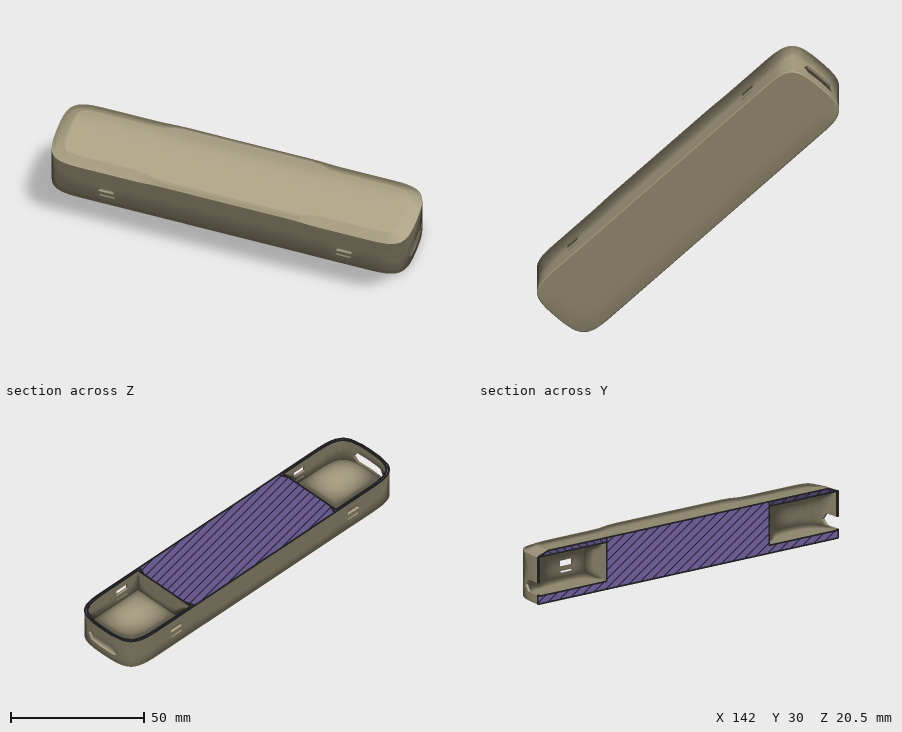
import cadquery as cq
length = 142.0
width = 30.0
height = 20.5
half_length = length / 2
half_width = width / 2

corner_length = 13.3
tip_half_flat = 1.1
corner_pull = 0.82

rim_z = 18.6
rim_end_inset = 5.1
rim_side_inset = 4.0
top_corner_length = 10.1
top_tip_half_flat = 0.5
top_corner_pull = 0.96

cap_floor_z = 5.8
seam_x = 38.5
seam_side_x = 37.0

base_chamfer = 0.4

crest_inset = 3.4
crest_z = height - (height - rim_z) * (1 - crest_inset / rim_side_inset)
rim_edge = [(0.0, rim_z), (crest_inset, crest_z), (rim_side_inset, height)]
outer_blend_edge = [(0.0, 18.7), (3.0, 20.2), (3.7, height)]
inner_blend_edge = [(0.0, 19.0), (1.7, 20.0), (2.5, height)]
middle_edge = [(0.0, 19.2), (1.3, 20.0), (2.1, height)]

edge_stations = [
    (seam_x, rim_edge),
    (seam_side_x, rim_edge),
    (32.8, outer_blend_edge),
    (29.0, inner_blend_edge),
    (24.8, middle_edge),
]

wall = 1.0
chamber_floor_z = 3.3
chamber_ceiling_z = height - 2 * wall

port_width = 16.2
port_flat_width = 12.2
port_bottom_z = 3.7
port_top_z = 8.5
port_depth = 2 * wall

latch_width = 6.0
window_x = 46.9
window_bottom_z = 7.4
window_top_z = 10.0
notch_x = 46.6
notch_bottom_z = 4.8


def rounded_outline(z, half_x, half_y, corner_x, half_flat, pull):
    """Closed case outline at height z, with one curve per corner."""
    corner_y = half_y - half_flat
    straight_x = half_x - corner_x
    handle_x = straight_x + pull * corner_x
    handle_y = half_flat + pull * corner_y

    def corner(x_sign, y_sign):
        return [
            cq.Vector(x_sign * half_x, y_sign * half_flat, z),
            cq.Vector(x_sign * half_x, y_sign * handle_y, z),
            cq.Vector(x_sign * handle_x, y_sign * half_y, z),
            cq.Vector(x_sign * straight_x, y_sign * half_y, z),
        ]

    curves = [
        corner(1, 1),
        corner(-1, 1)[::-1],
        corner(-1, -1),
        corner(1, -1)[::-1],
    ]
    edges = []
    for curve, following in zip(curves, curves[1:] + curves[:1]):
        edges.append(cq.Edge.makeBezier(curve))
        edges.append(cq.Edge.makeLine(curve[-1], following[0]))
    return cq.Wire.assembleEdges(edges)


def side_outline(z):
    return rounded_outline(z, half_length, half_width, corner_length, tip_half_flat, corner_pull)


def straight_case(top_z):
    """Vertical-walled block with the case outline."""
    return cq.Workplane(cq.Solid.extrudeLinear(side_outline(0), [], cq.Vector(0, 0, top_z)))


def case_with_rim():
    """Case block with the sloping rim all round its top."""
    top_outline = rounded_outline(
        height,
        half_length - rim_end_inset,
        half_width - rim_side_inset,
        top_corner_length,
        top_tip_half_flat,
        top_corner_pull,
    )
    rim = cq.Solid.makeLoft([side_outline(rim_z), top_outline], True)
    return straight_case(rim_z).union(cq.Workplane(rim))


def cap_space(side):
    """Space that a cap fills at one end; the seam flares inward under the rim."""
    top_half_width = half_width - rim_side_inset
    return (
        cq.Workplane("XY", origin=(0, 0, cap_floor_z))
        .moveTo(side * half_length, -half_width)
        .lineTo(side * seam_side_x, -half_width)
        .lineTo(side * seam_x, -top_half_width)
        .lineTo(side * seam_x, top_half_width)
        .lineTo(side * seam_side_x, half_width)
        .lineTo(side * half_length, half_width)
        .close()
        .extrude(height - cap_floor_z)
    )


def chamber(side):
    """Hollow shared by a cap and the housing below it, following the case walls."""
    inner_outline = rounded_outline(
        chamber_floor_z,
        half_length - wall,
        half_width - wall,
        corner_length,
        tip_half_flat,
        corner_pull,
    )
    chamber_height = chamber_ceiling_z - chamber_floor_z
    hollow = cq.Workplane(cq.Solid.extrudeLinear(inner_outline, [], cq.Vector(0, 0, chamber_height)))
    end_length = half_length - seam_x
    end_block = cq.Workplane("XY").box(end_length, width, height, centered=(True, True, False))
    return hollow.intersect(end_block.translate((side * (seam_x + end_length / 2), 0, 0)))


def port(side):
    """Six-sided port into the chamber, with its side points on the seam between cap and housing."""
    return (
        cq.Workplane("YZ", origin=(side * half_length, 0, 0))
        .moveTo(-port_width / 2, cap_floor_z)
        .lineTo(-port_flat_width / 2, port_top_z)
        .lineTo(port_flat_width / 2, port_top_z)
        .lineTo(port_width / 2, cap_floor_z)
        .lineTo(port_flat_width / 2, port_bottom_z)
        .lineTo(-port_flat_width / 2, port_bottom_z)
        .close()
        .extrude(-side * port_depth)
    )


def cross_slot(x, bottom_z, top_z):
    """Rectangular slot right through the case along Y."""
    slot_height = top_z - bottom_z
    return cq.Workplane("XY", origin=(x, 0, bottom_z)).box(
        latch_width, width, slot_height, centered=(True, True, False)
    )


def edge_section(x, y_sign, edge):
    """Wire in the YZ plane enclosing what is trimmed off above a sloping edge."""
    points = [cq.Vector(x, y_sign * (half_width - inset), z) for inset, z in edge]
    points.append(cq.Vector(x, y_sign * half_width, height))
    return cq.Wire.makePolygon(points, close=True)


def edge_trim(y_sign):
    """Trim along one top edge: cap slope at the seams, narrow edge in the middle."""
    left_half = [(-x, edge) for x, edge in edge_stations]
    right_half = edge_stations[::-1]
    sections = [edge_section(x, y_sign, edge) for x, edge in left_half + right_half]
    return cq.Workplane(cq.Solid.makeLoft(sections, True))


def make_cap(side):
    cap = case_with_rim().intersect(cap_space(side))
    cap = cap.cut(chamber(side))
    cap = cap.cut(port(side))
    return cap.cut(cross_slot(side * window_x, window_bottom_z, window_top_z))


def make_housing():
    housing = straight_case(height).faces("<Z").chamfer(base_chamfer)
    for side in (-1, 1):
        housing = housing.cut(cap_space(side))
        housing = housing.cut(chamber(side))
        housing = housing.cut(port(side))
        housing = housing.cut(cross_slot(side * notch_x, notch_bottom_z, cap_floor_z))
    for y_sign in (-1, 1):
        housing = housing.cut(edge_trim(y_sign))
    return housing


housing = make_housing()
caps = [make_cap(side) for side in (-1, 1)]

result = cq.Compound.makeCompound([body.solids().val() for body in [housing, *caps]])